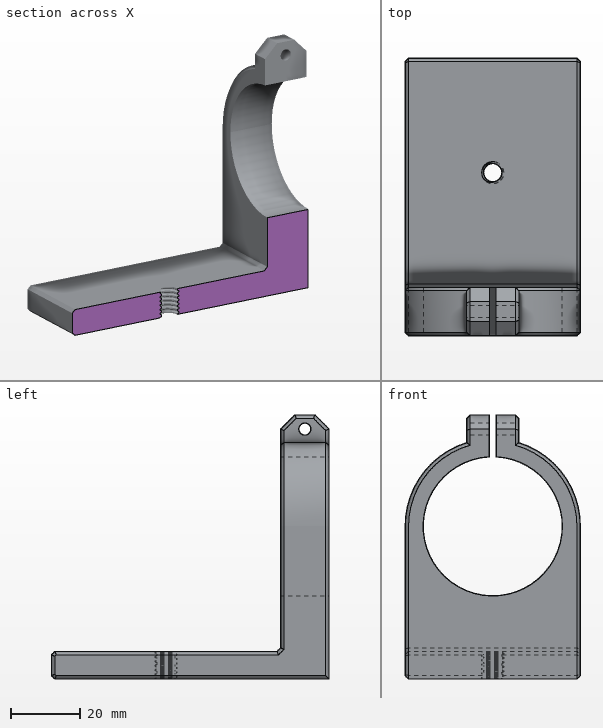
import cadquery as cq
import math

width = 50.5
length = 80.0
height = 76.11
plate_thickness = 8.0
wall_thickness = 14.0
edge_chamfer = 1.0

tolerance = 0.001

bore_diameter = 40.0
bore_height = 44.0
ring_radius = width / 2

tab_width = 15.0
slot_width = 2.0
tab_corner = 4.11
screw_diameter = 3.4
screw_height = height - tab_corner
tab_foot = bore_height + math.sqrt(ring_radius**2 - (tab_width / 2)**2)

thread_major = 6.35
thread_minor = 5.2
thread_pitch = 1.27
thread_crest_flat = thread_pitch / 8
thread_flank_angle = 30.0
thread_exit_angle = 185.0
groove_overlap = 0.1
hole_y = (wall_thickness + length) / 2


def front_outline():
    """Upright outline in XZ: straight sides, round shoulders and a square tab."""
    half = width / 2
    half_tab = tab_width / 2
    shoulder_angle = math.acos(half_tab / ring_radius)
    shoulder_x = ring_radius * math.cos(shoulder_angle / 2)
    shoulder_z = bore_height + ring_radius * math.sin(shoulder_angle / 2)
    return (
        cq.Workplane("XZ")
        .moveTo(-half, 0)
        .lineTo(half, 0)
        .lineTo(half, bore_height)
        .threePointArc((shoulder_x, shoulder_z), (half_tab, tab_foot))
        .lineTo(half_tab, height)
        .lineTo(-half_tab, height)
        .lineTo(-half_tab, tab_foot)
        .threePointArc((-shoulder_x, shoulder_z), (-half, bore_height))
        .close()
        .extrude(-length)
    )


def side_outline():
    """L outline in YZ: bevelled rear end, bevelled inner corner, bevelled tab top."""
    return (
        cq.Workplane("YZ")
        .polyline([
            (0, 0),
            (length - edge_chamfer, 0),
            (length, edge_chamfer),
            (length, plate_thickness - edge_chamfer),
            (length - edge_chamfer, plate_thickness),
            (wall_thickness + edge_chamfer, plate_thickness),
            (wall_thickness, plate_thickness + edge_chamfer),
            (wall_thickness, height - tab_corner),
            (wall_thickness - tab_corner, height),
            (tab_corner, height),
            (0, height - tab_corner),
        ])
        .close()
        .extrude(width / 2, both=True)
    )


def is_outer_rim(edge):
    """True for the edges around the two X sides, but not for seams across the wall."""
    box = edge.BoundingBox()
    across_x = box.ylen < tolerance and box.zlen < tolerance
    along_y = box.xlen < tolerance and box.zlen < tolerance
    wall_seam = along_y and bore_height - tolerance < box.zmin < height - tolerance
    return not across_x and not wall_seam


def bevelled_body():
    body = front_outline().intersect(side_outline())
    rim = [edge for edge in body.edges().vals() if is_outer_rim(edge)]
    return body.newObject(rim).chamfer(edge_chamfer)


def clamp_bore():
    return (
        cq.Workplane("XZ")
        .center(0, bore_height)
        .circle(bore_diameter / 2)
        .extrude(-wall_thickness)
    )


def clamp_slot():
    slot_height = height - bore_height
    return (
        cq.Workplane("XY")
        .workplane(offset=bore_height)
        .center(0, wall_thickness / 2)
        .rect(slot_width, wall_thickness)
        .extrude(slot_height)
    )


def screw_hole():
    return (
        cq.Workplane("YZ")
        .center(wall_thickness / 2, screw_height)
        .circle(screw_diameter / 2)
        .extrude(width / 2, both=True)
    )


def thread_groove():
    """Helical V groove about Z, running one pitch past both faces of the plate."""
    core_radius = thread_minor / 2
    crest_radius = thread_major / 2
    inner_radius = core_radius - groove_overlap
    half_flat = thread_crest_flat / 2
    flank_rise = (crest_radius - inner_radius) * math.tan(math.radians(thread_flank_angle))
    half_mouth = half_flat + flank_rise
    helix = cq.Wire.makeHelix(thread_pitch, plate_thickness + 2 * thread_pitch, core_radius)
    return (
        cq.Workplane("XZ")
        .polyline([
            (inner_radius, -half_mouth),
            (crest_radius, -half_flat),
            (crest_radius, half_flat),
            (inner_radius, half_mouth),
        ])
        .close()
        .sweep(cq.Workplane(helix), isFrenet=True)
        .translate((0, 0, -thread_pitch))
    )


def threaded_hole():
    """Core drill joined to its groove, turned so the groove leaves the top at the exit angle."""
    core = cq.Workplane("XY").circle(thread_minor / 2).extrude(plate_thickness)
    turns_to_top = (plate_thickness + thread_pitch) / thread_pitch
    start_angle = thread_exit_angle - 360 * turns_to_top
    return (
        core.union(thread_groove())
        .rotate((0, 0, 0), (0, 0, 1), start_angle)
        .translate((0, hole_y, 0))
    )


result = (
    bevelled_body()
    .cut(clamp_bore())
    .cut(clamp_slot())
    .cut(screw_hole())
    .cut(threaded_hole())
)